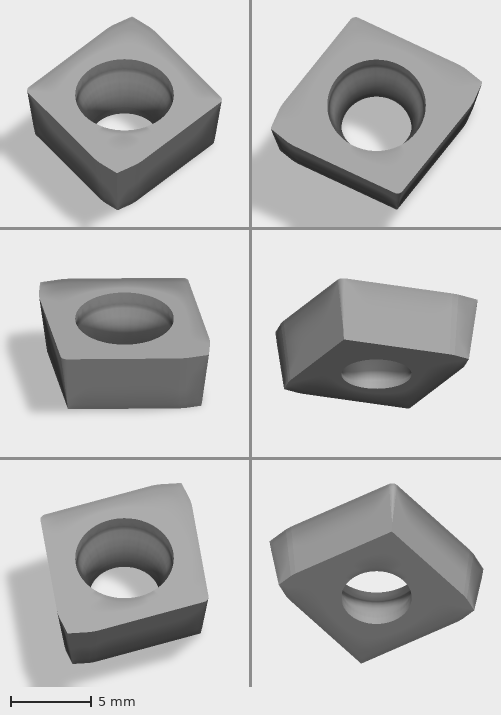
import cadquery as cq
import math

width = 9.53
thickness = 3.97
relief_angle = 7.0

edge_tilt = 10.0
facet_turn = 6.0
tip_turn = 14.0
edge_length = 7.39
facet_length = 0.41
blunt_radius = 0.4
tip_radius = 0.11

mouth_radius = 3.08
throat_radius = 3.0
bore_radius = 4.4 / 2
seat_radius = 2.9
mouth_depth = 0.81
seat_depth = 1.06
bore_depth = 3.4


def step(point, length, angle):
    """Point reached by moving a length along a direction in degrees."""
    a = math.radians(angle)
    return (point[0] + length * math.cos(a), point[1] + length * math.sin(a))


def opposite(point):
    return (-point[0], -point[1])


diagonal_angle = (90 - edge_tilt) / 2
half_diagonal = width / 2 / math.cos(math.radians(diagonal_angle))
blunt_corner = step((0, 0), -half_diagonal, diagonal_angle)


def along_diagonal(angle):
    return math.cos(math.radians(diagonal_angle - angle))


facet_angle = -edge_tilt + facet_turn
short_edge_angle = -edge_tilt + tip_turn
short_edge_length = (
    half_diagonal
    - edge_length * along_diagonal(-edge_tilt)
    - facet_length * along_diagonal(facet_angle)
) / along_diagonal(short_edge_angle)

edge_end = step(blunt_corner, edge_length, -edge_tilt)
facet_end = step(edge_end, facet_length, facet_angle)
tip = step(facet_end, short_edge_length, short_edge_angle)

side_facet_start = step(tip, short_edge_length, 90 - tip_turn)
side_facet_end = step(side_facet_start, facet_length, 90 - facet_turn)
half_outline = [blunt_corner, edge_end, facet_end, tip, side_facet_start, side_facet_end]
outline = half_outline + [opposite(p) for p in half_outline]


def make_body():
    top_face = cq.Workplane("XY").polyline(outline).close()
    return top_face.extrude(-thickness, taper=relief_angle)


def corner_waste(corner, first_angle, second_angle, radius):
    """Material outside a conical corner round that fades to a point below the top."""
    half_angle = math.radians((second_angle - first_angle) / 2)
    tangent_length = radius / math.tan(half_angle)
    center = step(corner, radius / math.sin(half_angle), (first_angle + second_angle) / 2)
    first_tangent = step(corner, tangent_length, first_angle)
    second_tangent = step(corner, tangent_length, second_angle)
    fade_depth = radius / math.tan(math.radians(relief_angle))
    kite = cq.Workplane("XY").polyline([corner, first_tangent, center, second_tangent]).close()
    cone = cq.Solid.makeCone(radius, 0, fade_depth, cq.Vector(*center, 0), cq.Vector(0, 0, -1))
    return kite.extrude(-fade_depth).cut(cq.Workplane(obj=cone))


def round_corners(body):
    blunt_waste = corner_waste(blunt_corner, -edge_tilt, 90, blunt_radius)
    tip_waste = corner_waste(tip, 90 - tip_turn, 180 + short_edge_angle, tip_radius)
    for waste in (blunt_waste, tip_waste):
        body = body.cut(waste)
        body = body.cut(waste.rotate((0, 0, 0), (0, 0, 1), 180))
    return body


def make_hole():
    """Slightly conical mouth, small hollow round, bulging screw seat and straight bore."""
    seat_width = seat_radius - bore_radius
    seat_height = bore_depth - seat_depth
    bulge_radius = (seat_width**2 + seat_height**2) / (2 * seat_width)
    half_sweep = math.asin(seat_height / bulge_radius) / 2
    seat_middle = (
        bore_radius + bulge_radius * (1 - math.cos(half_sweep)),
        -bore_depth + bulge_radius * math.sin(half_sweep),
    )
    profile = (
        cq.Workplane("XZ")
        .moveTo(0, 0)
        .lineTo(mouth_radius, 0)
        .lineTo(throat_radius, -mouth_depth)
        .tangentArcPoint((seat_radius, -seat_depth), relative=False)
        .threePointArc(seat_middle, (bore_radius, -bore_depth))
        .lineTo(bore_radius, -thickness)
        .lineTo(0, -thickness)
        .close()
    )
    return profile.revolve(360, (0, 0, 0), (0, 1, 0))


result = round_corners(make_body()).cut(make_hole())